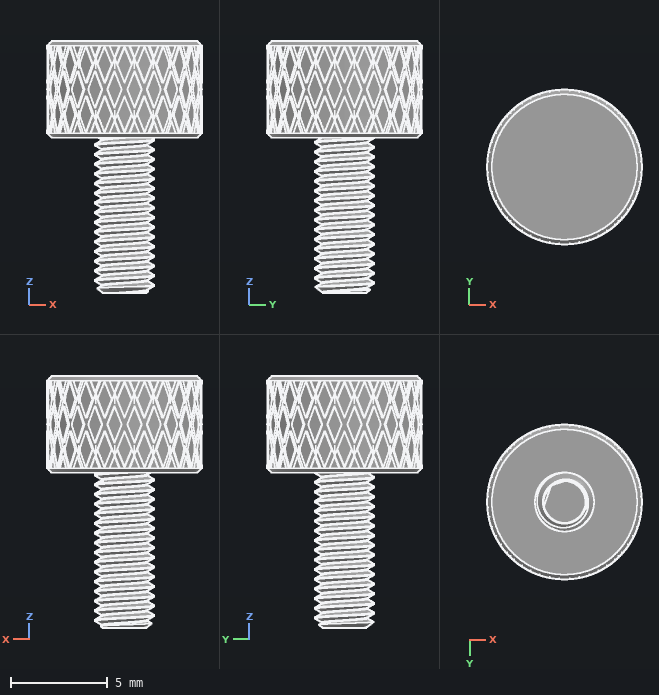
import cadquery as cq
import math

head_radius = 4.0
head_height = 5.0
head_chamfer = 0.25

knurl_count = 24
knurl_lead = 60.0
groove_depth = 0.12
groove_width = 0.28
knurl_height = head_height - 2 * head_chamfer
knurl_mid_height = head_height / 2
floor_radius = head_radius - groove_depth
knurl_step = 360 / knurl_count
half_turn = math.pi * knurl_height / knurl_lead
rise = knurl_lead / (2 * math.pi)

shank_length = 8.0
thread_radius = 1.527
pitch = 0.5
root_radius = 1.193
tip_radius = 1.12
lead_in_height = 0.33
thread_depth = thread_radius - root_radius
crest_width = pitch / 8
flank_slope = math.tan(math.radians(30))
first_crest_drop = 0.106

overlap = 0.1


def crossed_slots():
    """X-shaped prism along the X axis: one groove of each hand crossing at mid height."""
    half_width = groove_width / 2
    plane = cq.Plane(origin=(0, 0, knurl_mid_height), xDir=(0, 1, 0), normal=(1, 0, 0))

    def slot(hand):
        def edge_point(angle, side):
            return hand * floor_radius * math.sin(angle) + side * half_width, rise * angle

        outline = (
            cq.Workplane(plane)
            .moveTo(*edge_point(-half_turn, 1))
            .spline([edge_point(0, 1), edge_point(half_turn, 1)], includeCurrent=True)
            .lineTo(*edge_point(half_turn, -1))
            .spline([edge_point(0, -1), edge_point(-half_turn, -1)], includeCurrent=True)
            .close()
        )
        return outline.extrude(head_radius + overlap)

    return slot(1).union(slot(-1))


def groove_pair():
    """Cutter for two crossing grooves, with a floor that follows the helix inward towards its ends."""
    end_floor = floor_radius * math.cos(half_turn)
    outer = head_radius + overlap
    below_floor = (
        cq.Workplane("XZ")
        .moveTo(end_floor, head_chamfer)
        .threePointArc((floor_radius, knurl_mid_height), (end_floor, head_height - head_chamfer))
        .lineTo(outer, head_height - head_chamfer)
        .lineTo(outer, head_chamfer)
        .close()
        .extrude(head_radius, both=True)
    )
    return crossed_slots().intersect(below_floor)


def knurled_head():
    """Chamfered disc with the crossing grooves cut into its side."""
    disc = cq.Workplane("XY").circle(head_radius).extrude(head_height).edges().chamfer(head_chamfer)
    pair = groove_pair().val()
    cutters = []
    for step in range(knurl_count):
        cutters.append(pair.rotate((0, 0, 0), (0, 0, 1), step * knurl_step))
    return cq.Workplane(disc.val().cut(*cutters))


def thread_ridge():
    """Helical ridge that runs past both ends of the shank."""
    bottom = -first_crest_drop - pitch * math.ceil((shank_length + pitch) / pitch)
    height = -bottom + pitch
    base_radius = root_radius - overlap
    crest_half = crest_width / 2
    root_half = crest_half + thread_depth * flank_slope
    path = cq.Workplane(cq.Wire.makeHelix(pitch, height, root_radius))
    profile = cq.Workplane("XZ").polyline([
        (base_radius, -root_half),
        (root_radius, -root_half),
        (thread_radius, -crest_half),
        (thread_radius, crest_half),
        (root_radius, root_half),
        (base_radius, root_half),
    ]).close()
    return profile.sweep(path, isFrenet=True).translate((0, 0, bottom))


def threaded_shank():
    """Threaded rod trimmed to length, with a conical lead-in at its tip."""
    core = cq.Workplane("XY").workplane(offset=-shank_length - pitch).circle(root_radius)
    rod = core.extrude(shank_length + 2 * pitch).union(thread_ridge(), clean=False)
    trim_radius = thread_radius + overlap
    lead_in_slope = lead_in_height / (thread_radius - tip_radius)
    envelope = cq.Workplane("XZ").polyline([
        (0, -shank_length),
        (tip_radius, -shank_length),
        (trim_radius, -shank_length + (trim_radius - tip_radius) * lead_in_slope),
        (trim_radius, overlap),
        (0, overlap),
    ]).close().revolve(360, (0, 0), (0, 1))
    return rod.intersect(envelope, clean=False)


result = knurled_head().union(threaded_shank(), clean=False)